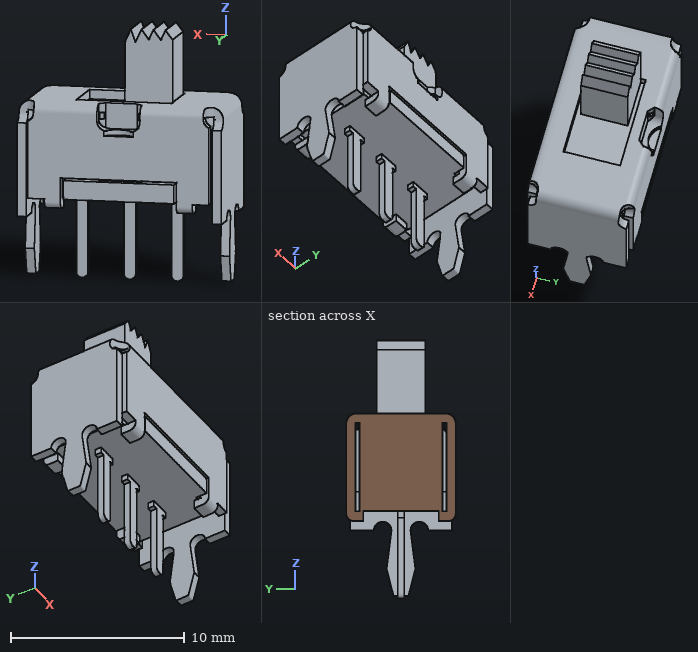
import cadquery as cq


sheet = 0.55
cover_x = 12.1
cover_y = 6.33
cover_top = 5.63
wall_x = 10.7
plate_y = 5.9
plate_bottom = -1.13
wall_bend_r = 0.57
plate_bend_r = (cover_x - wall_x) / 2
roof_bottom = cover_top - sheet

relief_r = 0.57
relief_x = 5.59
relief_y = 3.04

window_x = 5.62
window_y = 3.4
knob_left = -window_x / 2
knob_right = 0.02
knob_y = 2.8
knob_shoulder_left = 3.68
knob_shoulder_right = 3.45
knob_peak = 4.22
knob_peak_x = (-2.385, -1.675, -0.97, -0.335)
knob_valleys = ((-2.115, 3.64), (-1.4, 3.64), (-0.61, 3.45))

recess_x = 2.54
recess_y = 0.84
recess_depth = 1.5
recess_floor_r = 0.57
recess_corner = 0.34
scallop_r = 1.0
scallop_reach = 0.32
scallop_depth = 0.3

base_x = 9.6
base_y = 4.8
notch_x = 6.86
notch_z = 1.27
boss_gap = 0.16
boss_inset = 0.05

foot_x = 0.95
foot_y = 1.0
foot_drop = 0.58
foot_r = 0.41

terminal_count = 3
terminal_pitch = 2.82
terminal_width = 0.69
terminal_thickness = 0.4
terminal_bottom = -5.06
terminal_tip_r = 0.3
shoulder_x = 1.26
shoulder_drop = 0.4

leg_neck_y = 0.56
leg_wide_y = 0.84
leg_tip_y = 0.44
leg_wide_z = -3.35
leg_bottom = -4.91
leg_tip_r = 0.1
leg_relief_r = 0.5


def box(x0, x1, y0, y1, z0, z1):
    """Axis-aligned block between two limits on each axis."""
    return cq.Workplane("XY").box(x1 - x0, y1 - y0, z1 - z0, centered=False).translate((x0, y0, z0))


def both_ends(shape):
    """The shape together with its mirror image across X = 0."""
    return shape.union(shape.mirror("YZ"))


def both_sides(shape):
    """The shape together with its mirror image across Y = 0."""
    return shape.union(shape.mirror("XZ"))


def folded_channel(span, width, bottom, bend_r):
    """Roof with two flanges turned down at +X and -X."""
    shell = box(-span / 2, span / 2, -width / 2, width / 2, bottom, cover_top)
    shell = shell.edges("|Y and >Z").fillet(bend_r)
    inner = span / 2 - sheet
    cavity = box(-inner, inner, -width / 2, width / 2, bottom, roof_bottom)
    return shell.cut(cavity)


def below(shape, top):
    """The portion of a shape that lies below a height."""
    return shape.intersect(box(-cover_x / 2, cover_x / 2, -cover_y / 2, cover_y / 2, 0, top))


def roof_relief(bottom):
    """Part of the -X, -Y corner relief that passes down through the roof."""
    hole = cq.Workplane("XY", origin=(-relief_x, -relief_y, bottom))
    return hole.circle(relief_r).extrude(cover_top - bottom)


def wall_relief():
    """Cutter for the front wall at the -X corner: the relief followed down the wall bend."""
    bend_bottom = cover_top - wall_bend_r
    hole = cq.Workplane("XZ", origin=(-relief_x, -cover_y / 2 + sheet, bend_bottom))
    hole = below(hole.circle(relief_r).extrude(sheet), bend_bottom)
    bend = box(-cover_x / 2, relief_r - relief_x, -cover_y / 2, -relief_y, bend_bottom, cover_top)
    return roof_relief(bend_bottom).union(hole).union(bend)


def plate_relief():
    """Cutter for the -X end plate at the front corner: the relief followed down the plate bend."""
    bend_bottom = cover_top - plate_bend_r
    hole = cq.Workplane("YZ", origin=(-cover_x / 2, -relief_y, bend_bottom))
    hole = below(hole.circle(relief_r).extrude(sheet), bend_bottom)
    bend = box(-cover_x / 2, -relief_x, -cover_y / 2, relief_r - relief_y, bend_bottom, cover_top)
    return roof_relief(bend_bottom).union(hole).union(bend)


def make_leg():
    """Mounting leg at -X, flared and then tapered to a rounded tip."""
    outline = [
        (-leg_neck_y, plate_bottom + leg_relief_r),
        (-leg_neck_y, plate_bottom),
        (-leg_wide_y, leg_wide_z),
        (-leg_tip_y, leg_bottom),
        (leg_tip_y, leg_bottom),
        (leg_wide_y, leg_wide_z),
        (leg_neck_y, plate_bottom),
        (leg_neck_y, plate_bottom + leg_relief_r),
    ]
    leg = cq.Workplane("YZ", origin=(-cover_x / 2, 0, 0)).polyline(outline).close().extrude(sheet)
    return leg.edges("|X and <Z").fillet(leg_tip_r)


def make_cover():
    """Roof with its window, end plates with legs, and notched front and back walls."""
    plates = folded_channel(cover_x, plate_y, plate_bottom, plate_bend_r)
    leg_reliefs = cq.Workplane("YZ", origin=(-cover_x / 2, 0, plate_bottom))
    relief_offset = leg_neck_y + leg_relief_r
    leg_reliefs = leg_reliefs.pushPoints([(-relief_offset, 0), (relief_offset, 0)])
    leg_reliefs = leg_reliefs.circle(leg_relief_r).extrude(cover_x)
    plates = plates.cut(leg_reliefs).union(both_ends(make_leg()))

    walls = folded_channel(cover_y, wall_x, 0, wall_bend_r).rotate((0, 0, 0), (0, 0, 1), 90)
    notch = box(-notch_x / 2, notch_x / 2, -cover_y / 2, cover_y / 2, 0, notch_z)
    walls = walls.cut(notch)

    middle = box(-wall_x / 2, wall_x / 2, -plate_y / 2, plate_y / 2, roof_bottom, cover_top)
    plates = plates.cut(middle).cut(both_sides(both_ends(plate_relief())))
    cover = plates.union(walls.cut(both_sides(both_ends(wall_relief()))))
    window = box(-window_x / 2, window_x / 2, -window_y / 2, window_y / 2, roof_bottom, cover_top)
    return cover.cut(window)


def make_foot():
    """Crimped foot at -X, -Y, folded under the base with a rounded outer bend."""
    left = -notch_x / 2 - foot_x
    front = -cover_y / 2
    foot = box(left, left + foot_x, front, front + foot_y, -foot_drop, 0)
    return foot.edges("|X and <Y and <Z").fillet(foot_r)


def make_base():
    """Moulded block under the roof, with a boss in each wall notch and a pad under the recess."""
    block = box(-base_x / 2, base_x / 2, -base_y / 2, base_y / 2, 0, roof_bottom)
    pad_top = cover_top - recess_depth + recess_floor_r
    pad = box(-recess_x / 2, recess_x / 2, 0, cover_y / 2 - sheet, 0, pad_top)
    boss_x = notch_x / 2 - boss_gap
    boss_y = cover_y / 2 - boss_inset
    bosses = box(-boss_x, boss_x, -boss_y, boss_y, 0, notch_z - boss_gap)
    return block.union(pad).union(bosses)


def make_knob():
    """Actuator knob with a saw-toothed grip."""
    profile = [(knob_left, -sheet), (knob_left, knob_shoulder_left)]
    for i, peak_x in enumerate(knob_peak_x):
        profile.append((peak_x, knob_peak))
        profile.extend(knob_valleys[i:i + 1])
    profile += [(knob_right, knob_shoulder_right), (knob_right, -sheet)]
    plane = cq.Workplane("XZ", origin=(0, knob_y / 2, cover_top))
    return plane.polyline(profile).close().extrude(knob_y)


def make_terminal(x):
    """Shouldered flat pin with a rounded tip."""
    half_t = terminal_thickness / 2
    half_w = terminal_width / 2
    pin = box(x - half_w, x + half_w, -half_t, half_t, terminal_bottom, 0)
    pin = pin.edges("|Y and <Z").fillet(terminal_tip_r)
    shoulder = box(x - shoulder_x / 2, x + shoulder_x / 2, -half_t, half_t, -shoulder_drop, 0)
    return pin.union(shoulder)


def make_recess():
    """Cutter for the back recess: rounded trough with a circular scallop in its floor."""
    inner_y = cover_y / 2 - recess_y
    floor_z = cover_top - recess_depth
    trough = box(-recess_x / 2, recess_x / 2, inner_y, cover_y / 2, floor_z, cover_top)
    trough = trough.edges("|Y and <Z").fillet(recess_floor_r)
    plan = box(-recess_x / 2, recess_x / 2, inner_y, cover_y / 2, floor_z, cover_top)
    plan = plan.edges("|Z and <Y").chamfer(recess_corner)
    scallop_y = inner_y + scallop_reach + scallop_r
    scallop = cq.Workplane("XY", origin=(0, scallop_y, floor_z - scallop_depth))
    scallop = scallop.circle(scallop_r).extrude(scallop_depth)
    return trough.intersect(plan).union(scallop)


result = make_cover().union(make_base()).union(both_sides(both_ends(make_foot())))
result = result.union(make_knob()).cut(make_recess())
for i in range(terminal_count):
    result = result.union(make_terminal((i - (terminal_count - 1) / 2) * terminal_pitch))